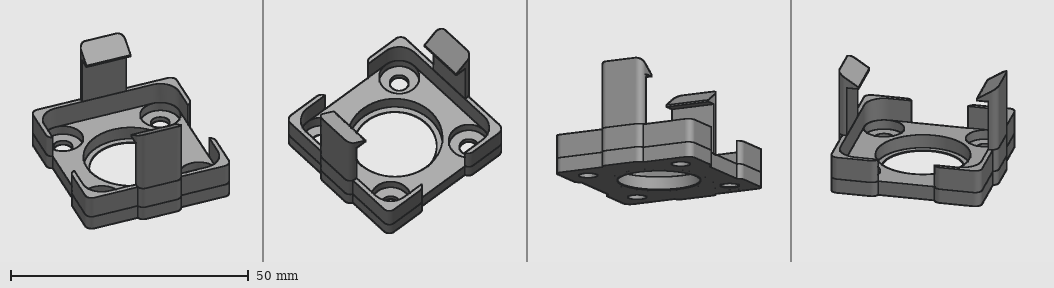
import cadquery as cq

outer_size = 32.5
wall_thickness = 1.0
cavity_size = outer_size - 2 * wall_thickness
outer_corner_radius = 1.5

base_height = 3.2
wall_height = 5.0
wall_top = base_height + wall_height
clip_top = 22.52

pad_gap = 12.0

clip_width = 10.0
boss_projection = 1.0
clip_outer_x = outer_size / 2 + boss_projection
clip_inner_x = cavity_size / 2
hook_reach = 4.5
hook_tip_x = clip_outer_x - hook_reach
hook_underside = 19.2
hook_tip_thickness = 0.4

screw_spacing = 22.0
screw_diameter = 4.0
screw_recess_diameter = 8.5
screw_recess_depth = 2.1
deep_recess_depth = 3.0
deep_recess_corner = (1, -1)
cavity_corner_radius = screw_recess_diameter / 2

opening_diameter = 17.5
opening_recess_diameter = 20.0
opening_recess_depth = 3.0


def rounded_block(x_min, x_max, width, z_min, z_max):
    """Block centred on the X axis with all four upright edges rounded."""
    return (
        cq.Workplane("XY")
        .box(x_max - x_min, width, z_max - z_min, centered=(False, True, False))
        .edges("|Z")
        .fillet(outer_corner_radius)
        .translate((x_min, 0, z_min))
    )


def side_outline(z_min, z_max):
    """Right-hand pair of corner pads, as one full-depth block, with the clip boss."""
    side = rounded_block(pad_gap / 2, outer_size / 2, outer_size, z_min, z_max)
    boss = rounded_block(pad_gap / 2, clip_outer_x, clip_width, z_min, z_max)
    return side.union(boss)


def stepped_hole(x, y, through_diameter, recess_diameter, recess_depth):
    """Cutter for a hole through the base with a wider recess sunk from its top."""
    through = cq.Workplane("XY", origin=(x, y, 0)).circle(through_diameter / 2).extrude(base_height)
    recess = (
        cq.Workplane("XY", origin=(x, y, base_height))
        .circle(recess_diameter / 2)
        .extrude(-recess_depth)
    )
    return through.union(recess)


def make_base():
    """Plate with corner pads, clip bosses, screw holes and the central opening."""
    side = side_outline(0, base_height)
    base = (
        cq.Workplane("XY")
        .box(cavity_size, cavity_size, base_height, centered=(True, True, False))
        .union(side)
        .union(side.mirror("YZ"))
    )
    base = base.cut(stepped_hole(0, 0, opening_diameter, opening_recess_diameter, opening_recess_depth))
    for x_sign in (-1, 1):
        for y_sign in (-1, 1):
            is_deep = (x_sign, y_sign) == deep_recess_corner
            hole = stepped_hole(
                x_sign * screw_spacing / 2,
                y_sign * screw_spacing / 2,
                screw_diameter,
                screw_recess_diameter,
                deep_recess_depth if is_deep else screw_recess_depth,
            )
            base = base.cut(hole)
    return base


def make_wall():
    """Right-hand C-shaped wall standing on the base around the cavity."""
    cavity = (
        cq.Workplane("XY", origin=(0, 0, base_height))
        .box(cavity_size, cavity_size, wall_height, centered=(True, True, False))
        .edges("|Z")
        .fillet(cavity_corner_radius)
    )
    return side_outline(base_height, wall_top).cut(cavity)


def make_clip():
    """Right-hand upright clip with an inward hook and a sloped top."""
    clip = (
        cq.Workplane("XZ")
        .moveTo(clip_outer_x, wall_top)
        .lineTo(clip_outer_x, clip_top)
        .lineTo(hook_tip_x, hook_underside + hook_tip_thickness)
        .lineTo(hook_tip_x, hook_underside)
        .lineTo(clip_inner_x, hook_underside)
        .lineTo(clip_inner_x, wall_top)
        .close()
        .extrude(clip_width / 2, both=True)
    )
    return clip.edges("|Z and >X").fillet(outer_corner_radius)


base = make_base()
wall = make_wall()
clip = make_clip()

bodies = [base.val()]
for right_body in (wall, clip):
    bodies.append(right_body.val())
    bodies.append(right_body.mirror("YZ").val())

result = cq.Compound.makeCompound(bodies)